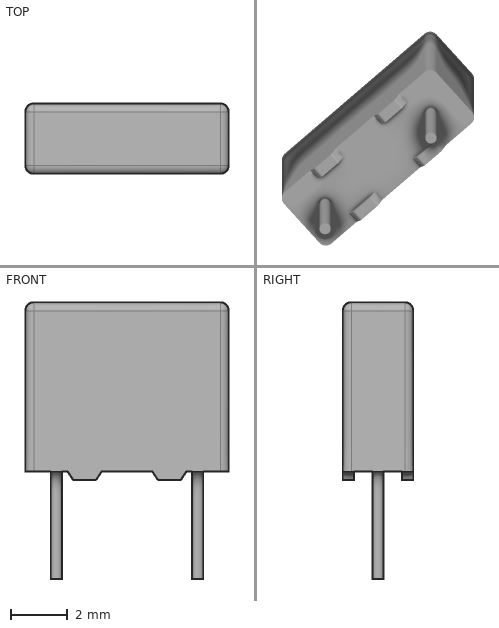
import cadquery as cq

body_length = 7.2
body_width = 2.5
total_height = 9.8
pin_length = 3.8
body_height = total_height - pin_length
edge_radius = 0.3

pin_diameter = 0.4
pin_spacing = 5.0

foot_spacing = 3.0
foot_root_length = 1.21
foot_tip_length = 0.8
foot_height = 0.3
foot_thickness = 0.4
foot_tip_radius = 0.1


def make_body():
    box = cq.Workplane("XY").box(body_length, body_width, body_height, centered=(True, True, False))
    return box.edges("|Z or >Z").fillet(edge_radius)


def make_pins():
    """Pins reach up into the body by their own diameter so that they join it."""
    return (
        cq.Workplane("XY", origin=(0, 0, -pin_length))
        .pushPoints([(-pin_spacing / 2, 0), (pin_spacing / 2, 0)])
        .circle(pin_diameter / 2)
        .extrude(pin_length + pin_diameter)
    )


def make_foot(center_x, outer_y):
    """Trapezoidal foot with rounded tip edges, its outer face at outer_y."""
    inward = 1 if outer_y < 0 else -1
    foot = (
        cq.Workplane("XZ", origin=(center_x, outer_y, 0))
        .moveTo(-foot_root_length / 2, 0)
        .lineTo(-foot_tip_length / 2, -foot_height)
        .lineTo(foot_tip_length / 2, -foot_height)
        .lineTo(foot_root_length / 2, 0)
        .close()
        .extrude(-inward * foot_thickness)
    )
    return foot.edges("|Y and <Z").fillet(foot_tip_radius)


result = make_body().union(make_pins())
for foot_x in (-foot_spacing / 2, foot_spacing / 2):
    for side_y in (-body_width / 2, body_width / 2):
        result = result.union(make_foot(foot_x, side_y))